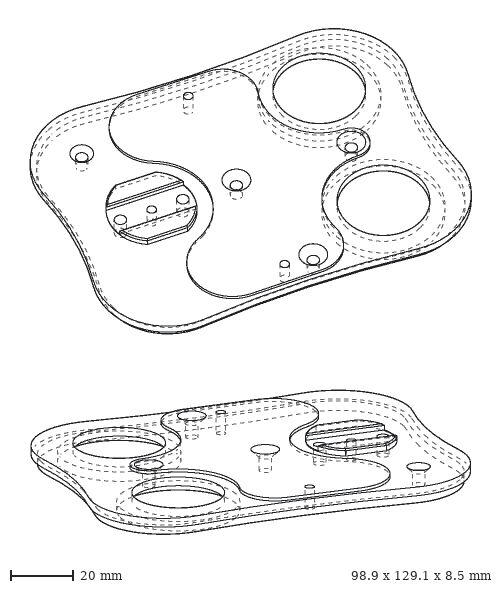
import cadquery as cq
import math

base_height = 3.2
plate_height = 3.0
panel_height = 1.0
disc_height = 0.3
pad_height = 2.3
plate_top = base_height + plate_height
cut_height = plate_top + pad_height

plate_width = 98.9
plate_length = 129.1
corner_radius = 24.5
side_dip = 2.1
end_dip = 2.6
base_inset = 2.1

window_x = 26.0
window_y = 35.4
window_diameter = 30.0
clearance_radius = 19.9

disc_y = -34.9
disc_radius = 14.7
disc_width = 25.8
groove_width = 11.0
pad_chamfer = 0.5

shoulder_x = 34.5
shoulder_y = 5.2
lobe_x = 31.4
lobe_y = -20.0

screw_diameter = 4.0
pin_diameter = 3.1
large_sink_diameter = 9.3
small_sink_diameter = 7.6
sink_angle = 90
pin_x = 39.0
center_hole_y = -5.0
side_screw_y = 5.0
corner_screw_x = -31.0
corner_screw_y = -46.0
disc_screw_offset = 11.0


def toward(start, target, distance):
    """Point at the given distance from start in the direction of target."""
    dx = target[0] - start[0]
    dy = target[1] - start[1]
    length = math.hypot(dx, dy)
    return (start[0] + dx * distance / length, start[1] + dy * distance / length)


def on_circle(center, radius, angle):
    """Point on a circle at an angle in radians."""
    return (center[0] + radius * math.cos(angle), center[1] + radius * math.sin(angle))


def mirror_x(point):
    return (-point[0], point[1])


def dip_angle(center_offset, dip):
    """Turn of a corner arc past its extreme point before it meets an inward curve of this depth."""
    return 2 * math.atan(dip / center_offset)


def plate_outline():
    """Outline of the plate, drawn counter-clockwise from the upper end of the right side."""
    half_width = plate_width / 2
    half_length = plate_length / 2
    corner = (half_width - corner_radius, half_length - corner_radius)
    side_joint = on_circle(corner, corner_radius, -dip_angle(corner[1], side_dip))
    corner_middle = on_circle(corner, corner_radius, math.pi / 4)
    end_joint = on_circle(corner, corner_radius, math.pi / 2 + dip_angle(corner[0], end_dip))
    side_middle = half_width - side_dip
    end_middle = half_length - end_dip

    def corner_points(sign_x, sign_y):
        return [(sign_x * x, sign_y * y) for x, y in (side_joint, corner_middle, end_joint)]

    upper_right = corner_points(1, 1)
    upper_left = corner_points(-1, 1)
    lower_left = corner_points(-1, -1)
    lower_right = corner_points(1, -1)
    return (
        cq.Workplane("XY")
        .moveTo(*upper_right[0])
        .threePointArc(upper_right[1], upper_right[2])
        .threePointArc((0, end_middle), upper_left[2])
        .threePointArc(upper_left[1], upper_left[0])
        .threePointArc((-side_middle, 0), lower_left[0])
        .threePointArc(lower_left[1], lower_left[2])
        .threePointArc((0, -end_middle), lower_right[2])
        .threePointArc(lower_right[1], lower_right[0])
        .threePointArc((side_middle, 0), upper_right[0])
        .close()
    )


def raised_panel():
    """Panel whose arcs all run smoothly into one another, mirrored about the Y axis."""
    window = (window_x, window_y)
    shoulder = (shoulder_x, shoulder_y)
    lobe = (lobe_x, lobe_y)
    disc = (0, disc_y)
    neck_radius = window_x - clearance_radius
    shoulder_radius = math.dist(window, shoulder) - clearance_radius
    lobe_radius = math.dist(disc, lobe) - clearance_radius

    spacing = math.dist(shoulder, lobe)
    axis_angle = math.atan2(lobe_y - shoulder_y, lobe_x - shoulder_x)
    edge_angle = axis_angle + math.acos((shoulder_radius - lobe_radius) / spacing)

    neck_side = (neck_radius, window_y)
    neck_top = (0, window_y + neck_radius)
    shoulder_start = toward(window, shoulder, clearance_radius)
    window_middle = on_circle(window, clearance_radius, -3 * math.pi / 4)
    shoulder_middle = on_circle(shoulder, shoulder_radius, math.pi / 4)
    edge_upper = on_circle(shoulder, shoulder_radius, edge_angle)
    edge_lower = on_circle(lobe, lobe_radius, edge_angle)
    lobe_middle = on_circle(lobe, lobe_radius, -math.pi / 2)
    lobe_end = toward(disc, lobe, clearance_radius)
    disc_middle = (0, disc_y + clearance_radius)

    return (
        cq.Workplane("XY", origin=(0, 0, plate_top))
        .moveTo(*neck_side)
        .threePointArc(window_middle, shoulder_start)
        .threePointArc(shoulder_middle, edge_upper)
        .lineTo(*edge_lower)
        .threePointArc(lobe_middle, lobe_end)
        .threePointArc(disc_middle, mirror_x(lobe_end))
        .threePointArc(mirror_x(lobe_middle), mirror_x(edge_lower))
        .lineTo(*mirror_x(edge_upper))
        .threePointArc(mirror_x(shoulder_middle), mirror_x(shoulder_start))
        .threePointArc(mirror_x(window_middle), mirror_x(neck_side))
        .threePointArc(neck_top, neck_side)
        .close()
        .extrude(panel_height)
    )


def flatted_disc(height):
    """Disc on the plate with a flat on its left and right sides."""
    plane = cq.Workplane("XY", origin=(0, disc_y, plate_top))
    round_disc = plane.circle(disc_radius).extrude(height)
    return round_disc.intersect(plane.rect(disc_width, 2 * disc_radius).extrude(height))


def pads():
    """Two pads left and right of the groove, chamfered around their tops."""
    groove = (
        cq.Workplane("XY", origin=(0, disc_y, plate_top))
        .rect(groove_width, 2 * disc_radius)
        .extrude(pad_height)
    )
    return flatted_disc(pad_height).cut(groove).faces(">Z").chamfer(pad_chamfer)


def round_cutters(points, diameter, height=cut_height):
    """Round cutters rising from the underside."""
    return cq.Workplane("XY").pushPoints(points).circle(diameter / 2).extrude(height)


def countersunk_hole(x, y, sink_diameter, surface_z):
    """Screw hole with a cone that is widest at the surface."""
    sink_depth = (sink_diameter - screw_diameter) / 2 / math.tan(math.radians(sink_angle / 2))
    cone = cq.Solid.makeCone(
        sink_diameter / 2, screw_diameter / 2, sink_depth, cq.Vector(x, y, surface_z), cq.Vector(0, 0, -1)
    )
    return round_cutters([(x, y)], screw_diameter).union(cq.Workplane(cone))


base = plate_outline().offset2D(-base_inset).extrude(base_height)
plate = plate_outline().extrude(plate_height).translate((0, 0, base_height))
result = base.union(plate).union(raised_panel()).union(flatted_disc(disc_height)).union(pads())

window_points = [(-window_x, window_y), (window_x, window_y)]
result = result.cut(round_cutters(window_points, window_diameter))
result = result.cut(round_cutters(window_points, 2 * clearance_radius, base_height))
pin_points = [(-pin_x, center_hole_y), (pin_x, center_hole_y), (0, disc_y)]
result = result.cut(round_cutters(pin_points, pin_diameter))
disc_screw_points = [(0, disc_y - disc_screw_offset), (0, disc_y + disc_screw_offset)]
result = result.cut(round_cutters(disc_screw_points, screw_diameter))
for x, y in [(0, window_y), (0, center_hole_y), (pin_x, side_screw_y)]:
    result = result.cut(countersunk_hole(x, y, large_sink_diameter, plate_top + panel_height))
result = result.cut(countersunk_hole(corner_screw_x, corner_screw_y, small_sink_diameter, plate_top))